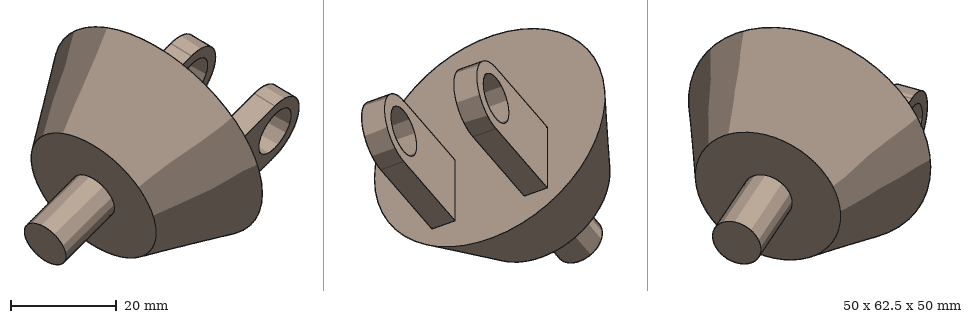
import cadquery as cq

wide_diameter = 50.0
narrow_diameter = 30.0
body_length = 20.0

pin_diameter = 10.0
pin_length = 15.0

lug_thickness = 5.0
lug_gap = 15.0
lug_width = 15.0
lug_length = 27.5
lug_center_z = -10.0
lug_hole_diameter = 10.0


def make_body_and_pin():
    """Revolve the half profile of the frustum and pin about the Y axis."""
    pin_end_y = -(body_length + pin_length)
    return (
        cq.Workplane("XY")
        .polyline([
            (0, 0),
            (wide_diameter / 2, 0),
            (narrow_diameter / 2, -body_length),
            (pin_diameter / 2, -body_length),
            (pin_diameter / 2, pin_end_y),
            (0, pin_end_y),
        ])
        .close()
        .revolve(360, (0, 0, 0), (0, 1, 0))
    )


def make_lug(start_x):
    """Round-ended plate with a cross hole, from start_x towards +X."""
    radius = lug_width / 2
    eye_y = lug_length - radius
    bottom_z = lug_center_z - radius
    top_z = lug_center_z + radius
    plate = (
        cq.Workplane("YZ", origin=(start_x, 0, 0))
        .moveTo(0, bottom_z)
        .lineTo(eye_y, bottom_z)
        .threePointArc((lug_length, lug_center_z), (eye_y, top_z))
        .lineTo(0, top_z)
        .close()
        .extrude(lug_thickness)
    )
    hole = (
        cq.Workplane("YZ", origin=(start_x, 0, 0))
        .center(eye_y, lug_center_z)
        .circle(lug_hole_diameter / 2)
        .extrude(lug_thickness)
    )
    return plate.cut(hole)


result = make_body_and_pin()
for lug_start_x in (-lug_gap / 2 - lug_thickness, lug_gap / 2):
    result = result.union(make_lug(lug_start_x))